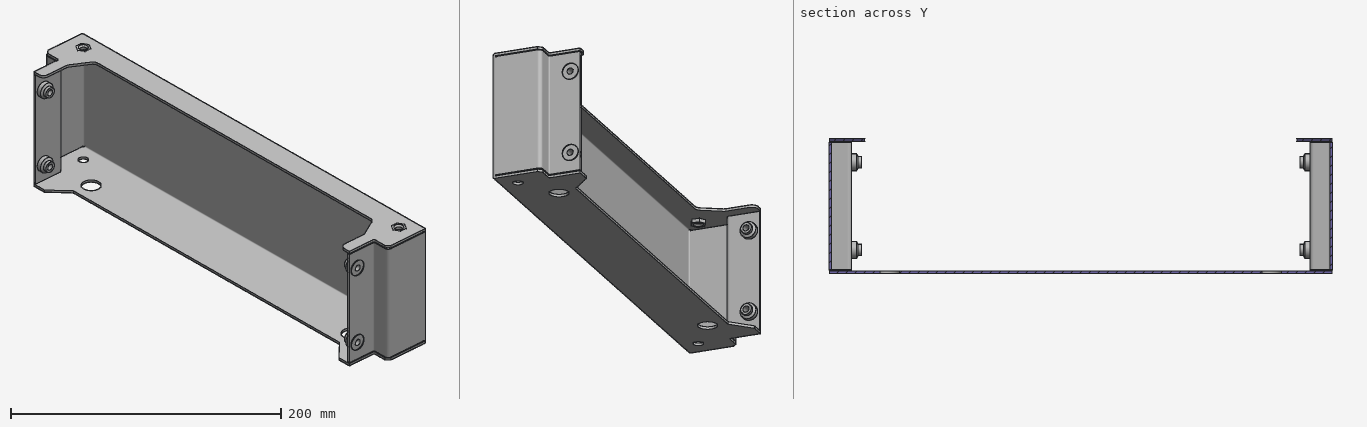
import cadquery as cq
import math

WIDTH = 373
DEPTH = 65.0
HEIGHT = 100.0

SHEET = 2.0
BEND_INSIDE = 0.97
BEND_OUTSIDE = SHEET + BEND_INSIDE
FLANGE_GAP = 0.7
PANEL_CORNER_CHAMFER = BEND_OUTSIDE

BOX_DEPTH = 40.0
STEP_WIDTH = 15.0
HALF_WIDTH = WIDTH / 2
LEG_X = HALF_WIDTH - STEP_WIDTH

TOP_LIP_WIDTH = 10.0
TOP_STRIP_DEPTH = 22.0
OPENING_SLANT_X = 10.5
OPENING_SLANT_Y = 18.3
OPENING_CORNER_RADIUS = 5.0

FLOOR_DEPTH = 50.0
FLOOR_TIP_WIDTH = 11.5
FLOOR_SLANT_X = 15.3

CABLE_HOLE_DIAMETER = 15.0
CABLE_HOLE_X = HALF_WIDTH - 45.0
CABLE_HOLE_Y = -35.0
SCREW_HOLE_DIAMETER = 8.0

HEX_SIDES = 6
HEX_NUT_FLATS = 10.0
HEX_NUT_HEIGHT = 5.0
HEX_NUT_BORE = 5.0
HEX_NUT_CHAMFER = 1.3
HEX_NUT_X = HALF_WIDTH - 15.0
HEX_NUT_Y = -15.0

RIVET_BODY_DIAMETER = 12.5
RIVET_TIP_DIAMETER = 8.5
RIVET_PROTRUSION = 0.7
RIVET_BODY_END = 5.5
RIVET_TAPER_END = 6.7
RIVET_LENGTH = 9.5
RIVET_BORE = 5.0
RIVET_Y = -DEPTH + 8.0
RIVET_SPACING = 65.0
RIVET_HEIGHTS = [(HEIGHT - RIVET_SPACING) / 2, (HEIGHT + RIVET_SPACING) / 2]

CUT_MARGIN = 3.7
EDGE_REACH = 0.05


def mirrored(right_half):
    """Close a symmetric outline from the points of its +X half, listed from back to front."""
    left_half = [(-x, y) for x, y in reversed(right_half)]
    return right_half + left_half


def prism(points, bottom, top):
    return cq.Workplane("XY").workplane(offset=bottom).polyline(points).close().extrude(top - bottom)


def upright_edges_at(body, points):
    """Upright edges that pass through the given plan points or their mirror images."""
    edges = []
    for x, y in mirrored(points):
        box = cq.selectors.BoxSelector(
            (x - EDGE_REACH, y - EDGE_REACH, -CUT_MARGIN),
            (x + EDGE_REACH, y + EDGE_REACH, HEIGHT + CUT_MARGIN),
        )
        edges += body.edges("|Z").edges(box).vals()
    return body.newObject(edges)


def stepped_block(inset, convex_radius, concave_radius, bottom, top, front):
    """Plan shape of box and legs, moved inwards by the inset, with rounded back and bends."""
    box_back = (HALF_WIDTH - inset, -inset)
    box_front = (HALF_WIDTH - inset, -BOX_DEPTH + inset)
    leg_root = (LEG_X - inset, -BOX_DEPTH + inset)
    leg_front = (LEG_X - inset, front)
    block = prism(mirrored([box_back, box_front, leg_root, leg_front]), bottom, top)
    block = upright_edges_at(block, [leg_root]).fillet(concave_radius)
    block = upright_edges_at(block, [box_back, box_front]).fillet(convex_radius)
    return block.intersect(rounded_back_bar(inset, convex_radius, bottom, top))


def rounded_back_bar(inset, radius, bottom, top):
    """Bar along X whose two back edges have the bends between back wall, top panel and floor."""
    bar = prism(
        mirrored([(HALF_WIDTH, -inset), (HALF_WIDTH, -DEPTH - CUT_MARGIN)]), bottom, top
    )
    return bar.faces(">Y").edges("|X").fillet(radius)


def flange_gap(bottom):
    """Slit that parts the side walls and legs from a panel, in front of the back bend."""
    slit_outline = mirrored([(HALF_WIDTH, -BEND_OUTSIDE), (HALF_WIDTH, -DEPTH)])
    return prism(slit_outline, bottom, bottom + FLANGE_GAP)


def panel_corner_cut(side, bottom):
    """Corner that is cut off a panel at the front of a side box."""
    edge = side * HALF_WIDTH
    corner = (edge, -BOX_DEPTH)
    on_side = (edge, -BOX_DEPTH + PANEL_CORNER_CHAMFER)
    on_front = (edge - side * PANEL_CORNER_CHAMFER, -BOX_DEPTH)
    return prism([corner, on_side, on_front], bottom, bottom + SHEET)


def top_opening():
    lip_x = LEG_X - TOP_LIP_WIDTH
    back_corner = (lip_x - OPENING_SLANT_X, -TOP_STRIP_DEPTH)
    slant_end = (lip_x, -TOP_STRIP_DEPTH - OPENING_SLANT_Y)
    front = (lip_x, -DEPTH - CUT_MARGIN)
    opening = prism(mirrored([back_corner, slant_end, front]), HEIGHT - SHEET, HEIGHT)
    return upright_edges_at(opening, [back_corner, slant_end]).fillet(OPENING_CORNER_RADIUS)


def floor_front_cut():
    tip_x = LEG_X - FLOOR_TIP_WIDTH
    slant_start = (tip_x - FLOOR_SLANT_X, -FLOOR_DEPTH)
    tip = (tip_x, -DEPTH)
    front = (tip_x, -DEPTH - CUT_MARGIN)
    return prism(mirrored([slant_start, tip, front]), 0, SHEET)


def make_housing():
    shell = stepped_block(0, BEND_OUTSIDE, BEND_INSIDE, 0, HEIGHT, -DEPTH)
    cavity = stepped_block(
        SHEET, BEND_INSIDE, BEND_OUTSIDE, SHEET, HEIGHT - SHEET, -DEPTH - CUT_MARGIN
    )
    body = shell.cut(cavity).cut(top_opening()).cut(floor_front_cut())
    body = body.cut(flange_gap(SHEET)).cut(flange_gap(HEIGHT - SHEET - FLANGE_GAP))
    for side in (-1, 1):
        body = body.cut(panel_corner_cut(side, 0)).cut(panel_corner_cut(side, HEIGHT - SHEET))
    lip_tip = (LEG_X - TOP_LIP_WIDTH, -DEPTH)
    body = upright_edges_at(body, [lip_tip]).fillet(OPENING_CORNER_RADIUS)

    floor = cq.Workplane("XY")
    cable_holes = (
        floor.pushPoints([(-CABLE_HOLE_X, CABLE_HOLE_Y), (CABLE_HOLE_X, CABLE_HOLE_Y)])
        .circle(CABLE_HOLE_DIAMETER / 2)
        .extrude(SHEET)
    )
    screw_holes = (
        floor.pushPoints([(-HEX_NUT_X, HEX_NUT_Y), (HEX_NUT_X, HEX_NUT_Y)])
        .circle(SCREW_HOLE_DIAMETER / 2)
        .extrude(SHEET)
    )
    return body.cut(cable_holes).cut(screw_holes)


def make_hex_blank(x):
    """Plain hexagon with two corners on the Y direction, its top level with the top panel."""
    corner_diameter = HEX_NUT_FLATS / math.cos(math.pi / HEX_SIDES)
    return (
        cq.Workplane("XY", origin=(x, HEX_NUT_Y, HEIGHT))
        .transformed(rotate=(0, 0, 90))
        .polygon(HEX_SIDES, corner_diameter)
        .extrude(-HEX_NUT_HEIGHT)
    )


def make_hex_nut(x):
    nut = make_hex_blank(x).faces(">Z").workplane().hole(HEX_NUT_BORE)
    return nut.faces("<Z or >Z").edges("%CIRCLE").chamfer(HEX_NUT_CHAMFER)


def make_rivet_nut(side, z):
    """Turned about X: a wide body through the leg that tapers to a narrow tip inside."""
    bore = RIVET_BORE / 2
    body = RIVET_BODY_DIAMETER / 2
    tip = RIVET_TIP_DIAMETER / 2
    profile = [
        (-RIVET_PROTRUSION, bore),
        (-RIVET_PROTRUSION, body),
        (RIVET_BODY_END, body),
        (RIVET_TAPER_END, tip),
        (RIVET_LENGTH, tip),
        (RIVET_LENGTH, bore),
    ]
    placed = [(side * (LEG_X - inwards), radius) for inwards, radius in profile]
    nut = cq.Workplane("XY").polyline(placed).close().revolve(360, (0, 0, 0), (1, 0, 0))
    return nut.translate((0, RIVET_Y, z))


def make_rivet_hole(side, z):
    leg_face = cq.Workplane("YZ", origin=(side * LEG_X, RIVET_Y, z))
    return leg_face.circle(RIVET_BODY_DIAMETER / 2).extrude(-side * SHEET)


housing = make_housing()
hex_nuts = []
rivet_nuts = []
for side in (-1, 1):
    housing = housing.cut(make_hex_blank(side * HEX_NUT_X))
    hex_nuts.append(make_hex_nut(side * HEX_NUT_X))
    for z in RIVET_HEIGHTS:
        housing = housing.cut(make_rivet_hole(side, z))
        rivet_nuts.append(make_rivet_nut(side, z))

result = cq.Compound.makeCompound(
    [housing.val(), *[nut.val() for nut in hex_nuts], *[nut.val() for nut in rivet_nuts]]
)